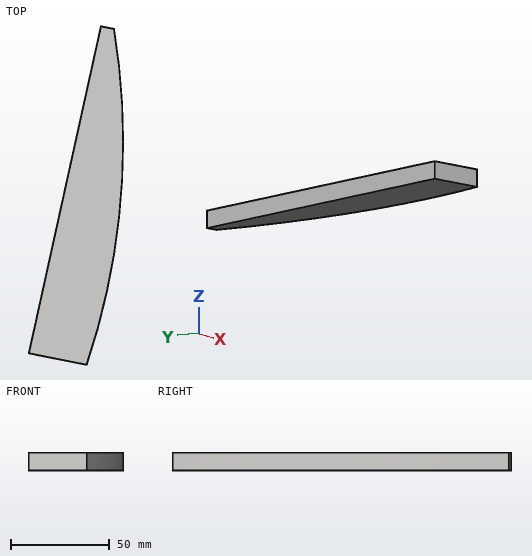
import cadquery as cq
import math

thickness = 9.0
back_root = (0, 5.8)
back_tip = (36.5, 171.2)
front_tip = (43.1, 169.8)
front_root = (29.3, 0)
front_bulge = 10.5


def arc_midpoint(start, end, bulge):
    """Middle of an arc bowed to the left of the direction start to end."""
    dx = end[0] - start[0]
    dy = end[1] - start[1]
    chord = math.hypot(dx, dy)
    mid_x = (start[0] + end[0]) / 2
    mid_y = (start[1] + end[1]) / 2
    return (mid_x - bulge * dy / chord, mid_y + bulge * dx / chord)


result = (
    cq.Workplane("XY")
    .moveTo(*back_root)
    .lineTo(*back_tip)
    .lineTo(*front_tip)
    .threePointArc(arc_midpoint(front_tip, front_root, front_bulge), front_root)
    .close()
    .extrude(thickness)
)